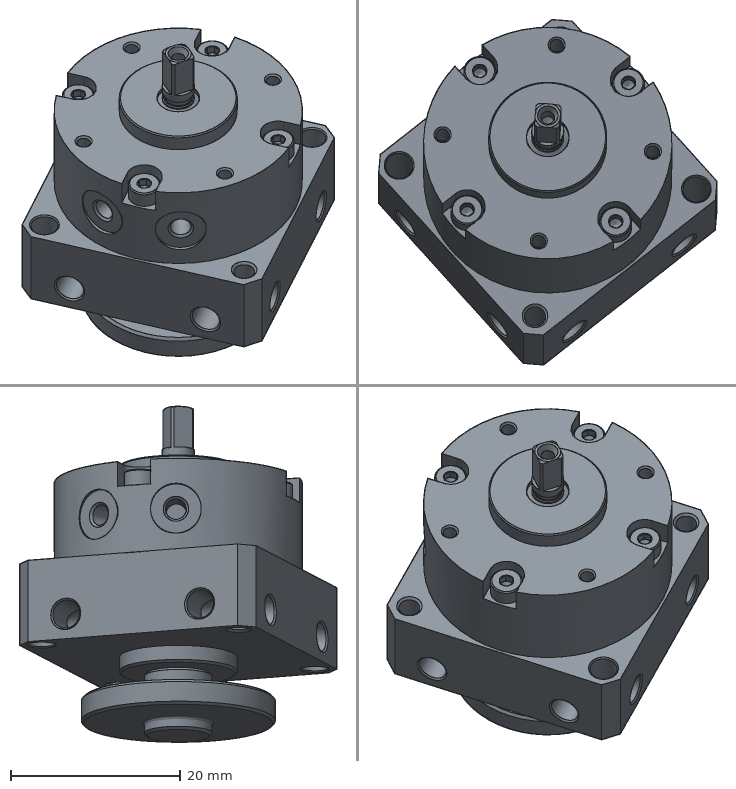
import cadquery as cq
import math

FLANGE_BOTTOM_Z = 1.5
FLANGE_TOP_Z = 4.5
LOWER_BOSS_Z = 7.5
BLOCK_BOTTOM_Z = 9.48
BLOCK_TOP_Z = 19.3
NOTCH_FLOOR_Z = 27.5
SCREW_TOP_Z = 29.45
DRUM_TOP_Z = 30.5
SHOULDER_TOP_Z = 32.35
UPPER_BOSS_Z = 32.5
GROOVE_BOTTOM_Z = 32.65
GROOVE_TOP_Z = 33.35
FLATS_BOTTOM_Z = 34.52
SHAFT_TOP_Z = 39.5

BLOCK_SIDE = 30.0
BLOCK_CORNER_CHAMFER = 1.7
DRUM_DIAMETER = 29.4
BOSS_DIAMETER = 14.0
LOWER_BOSS_CHAMFER = 0.28
UPPER_BOSS_CHAMFER = 0.15
BORE_DIAMETER = 5.0

HOLE_OFFSET = 12.5
CLEARANCE_DIAMETER = 3.2
CLEARANCE_MOUTH = 3.5
TAPPED_DIAMETER = 2.45
TAPPED_MOUTH = 3.0

CROSS_OFFSET = 8.5
CROSS_Z = 12.5
CROSS_DIAMETER = 3.4
CROSS_MOUTH = 3.8

STATIONS = 4
NOTCH_WIDTH = 4.23
SCREW_DIAMETER = 3.8
SCREW_CHAMFER = 0.15
SOCKET_ACROSS_FLATS = 1.5
SOCKET_MOUTH = 1.7
SOCKET_DEPTH = 1.0
SOCKET_POINT_DEPTH = 0.47
FACE_HOLE_DIAMETER = 1.58
FACE_HOLE_MOUTH = 2.0
FACE_HOLE_DEPTH = 3.95

PORT_Z = 24.5
PORT_ANGLE = 20.0
SPOT_FACE_DIAMETER = 6.0
SPOT_FACE_RADIUS = 14.25
PORT_DEPTH = 3.15

FLANGE_DIAMETER = 23.0
FLANGE_CHAMFER = 0.3
HUB_DIAMETER = 8.0
HUB_CHAMFER = 0.3
UPPER_HUB_FILLET = 0.6
LOWER_HUB_FILLET = 0.25
GROOVE_DIAMETER = 3.2
GROOVE_CHAMFER = 0.1
NECK_DIAMETER = 3.5
SHOULDER_SLOPE = 30.0
UPPER_DIAMETER = 3.8
TIP_DIAMETER = 3.1
TIP_CHAMFER_HEIGHT = 0.15
SQUARE_ACROSS_FLATS = 2.95
CENTRE_MOUTH = 2.4
CENTRE_DIAMETER = 1.58
CENTRE_CONE_ANGLE = 60.0
CENTRE_DEPTH = 2.37
CENTRE_POINT_DEPTH = 0.47


def countersunk_drill(point, direction, diameter, mouth, depth):
    """Cutter from a surface point inwards, with a 45 degree chamfer at its mouth."""
    point = cq.Vector(*point)
    direction = cq.Vector(*direction)
    drill = cq.Solid.makeCylinder(diameter / 2, depth, point, direction)
    chamfer = cq.Solid.makeCone(mouth / 2, diameter / 2, (mouth - diameter) / 2, point, direction)
    return cq.Workplane(drill.fuse(chamfer))


def through_drill(start, end, diameter, mouth):
    """Cutter between two opposite surfaces, chamfered at both."""
    axis = cq.Vector(*end) - cq.Vector(*start)
    first = countersunk_drill(start, axis.toTuple(), diameter, mouth, axis.Length)
    second = countersunk_drill(end, (-axis).toTuple(), diameter, mouth, axis.Length)
    return first.union(second)


def cylinder(diameter, bottom, top):
    return cq.Workplane("XY").workplane(offset=bottom).circle(diameter / 2).extrude(top - bottom)


def make_body_blank():
    block = (
        cq.Workplane("XY")
        .workplane(offset=BLOCK_BOTTOM_Z)
        .rect(BLOCK_SIDE, BLOCK_SIDE)
        .extrude(BLOCK_TOP_Z - BLOCK_BOTTOM_Z)
        .edges("|Z")
        .chamfer(BLOCK_CORNER_CHAMFER)
    )
    drum = cylinder(DRUM_DIAMETER, BLOCK_TOP_Z, DRUM_TOP_Z)
    lower_boss = cylinder(BOSS_DIAMETER, LOWER_BOSS_Z, BLOCK_BOTTOM_Z)
    lower_boss = lower_boss.faces("<Z").chamfer(LOWER_BOSS_CHAMFER)
    upper_boss = cylinder(BOSS_DIAMETER, DRUM_TOP_Z, UPPER_BOSS_Z)
    upper_boss = upper_boss.faces(">Z").chamfer(UPPER_BOSS_CHAMFER)
    return block.union(drum).union(lower_boss).union(upper_boss)


def cut_block_holes(body):
    """Vertical corner holes, and horizontal pairs through the block along X and along Y."""
    for x_sign in (-1, 1):
        for y_sign in (-1, 1):
            x, y = x_sign * HOLE_OFFSET, y_sign * HOLE_OFFSET
            if x_sign == y_sign:
                diameter, mouth = CLEARANCE_DIAMETER, CLEARANCE_MOUTH
            else:
                diameter, mouth = TAPPED_DIAMETER, TAPPED_MOUTH
            body = body.cut(through_drill((x, y, BLOCK_TOP_Z), (x, y, BLOCK_BOTTOM_Z), diameter, mouth))
    half = BLOCK_SIDE / 2
    for offset in (-CROSS_OFFSET, CROSS_OFFSET):
        front, back = (offset, -half, CROSS_Z), (offset, half, CROSS_Z)
        left, right = (-half, offset, CROSS_Z), (half, offset, CROSS_Z)
        along_y = through_drill(front, back, CROSS_DIAMETER, CROSS_MOUTH)
        along_x = through_drill(left, right, CROSS_DIAMETER, CROSS_MOUTH)
        body = body.cut(along_y).cut(along_x)
    return body


def make_notch():
    """Round-ended notch on the +X side, open towards the rim of the drum."""
    depth = DRUM_TOP_Z - NOTCH_FLOOR_Z
    run = BLOCK_SIDE / 2 - HOLE_OFFSET
    plane = cq.Workplane("XY").workplane(offset=NOTCH_FLOOR_Z)
    round_end = plane.center(HOLE_OFFSET, 0).circle(NOTCH_WIDTH / 2).extrude(depth)
    opening = plane.center(HOLE_OFFSET + run / 2, 0).rect(run, NOTCH_WIDTH).extrude(depth)
    return round_end.union(opening)


def make_screw_head():
    """Socket head standing on the notch floor on the +X side."""
    head = cylinder(SCREW_DIAMETER, NOTCH_FLOOR_Z, SCREW_TOP_Z).faces(">Z").chamfer(SCREW_CHAMFER)
    socket = (
        cq.Workplane("XY")
        .workplane(offset=SCREW_TOP_Z - SOCKET_DEPTH)
        .polygon(6, SOCKET_ACROSS_FLATS, circumscribed=True)
        .extrude(SOCKET_DEPTH)
    )
    point = cq.Solid.makeCone(
        SOCKET_ACROSS_FLATS / 2,
        0,
        SOCKET_POINT_DEPTH,
        cq.Vector(0, 0, SCREW_TOP_Z - SOCKET_DEPTH),
        cq.Vector(0, 0, -1),
    )
    mouth = countersunk_drill(
        (0, 0, SCREW_TOP_Z), (0, 0, -1), SOCKET_ACROSS_FLATS, SOCKET_MOUTH, SOCKET_DEPTH
    )
    head = head.cut(socket).cut(mouth).cut(cq.Workplane(point))
    return head.translate((HOLE_OFFSET, 0, 0))


def add_drum_stations(body):
    """Notches with screw heads around the drum, and a blind hole halfway between each pair."""
    axis_start, axis_end = (0, 0, 0), (0, 0, 1)
    step = 360 / STATIONS
    face_hole = countersunk_drill(
        (HOLE_OFFSET, 0, DRUM_TOP_Z), (0, 0, -1), FACE_HOLE_DIAMETER, FACE_HOLE_MOUTH, FACE_HOLE_DEPTH
    )
    notch = make_notch()
    screw_head = make_screw_head()
    for station in range(STATIONS):
        angle = station * step
        body = body.cut(notch.rotate(axis_start, axis_end, angle))
        body = body.cut(face_hole.rotate(axis_start, axis_end, angle + step / 2))
    for station in range(STATIONS):
        angle = station * step
        head = screw_head.rotate((HOLE_OFFSET, 0, 0), (HOLE_OFFSET, 0, 1), -angle)
        body = body.union(head.rotate(axis_start, axis_end, angle))
    return body


def cut_ports(body):
    """Two radial ports either side of the -Y direction, each sunk from a flat spot face."""
    for sign in (-1, 1):
        turn = math.radians(sign * PORT_ANGLE)
        outward = cq.Vector(math.sin(turn), -math.cos(turn), 0)
        seat = outward * SPOT_FACE_RADIUS + cq.Vector(0, 0, PORT_Z)
        spot_depth = DRUM_DIAMETER / 2 - SPOT_FACE_RADIUS
        spot_face = cq.Solid.makeCylinder(SPOT_FACE_DIAMETER / 2, spot_depth, seat, outward)
        port = countersunk_drill(
            seat.toTuple(), (-outward).toTuple(), TAPPED_DIAMETER, TAPPED_MOUTH, PORT_DEPTH
        )
        body = body.cut(cq.Workplane(spot_face)).cut(port)
    return body


def cut_bore(body):
    return body.cut(cylinder(BORE_DIAMETER, LOWER_BOSS_Z, UPPER_BOSS_Z))


def make_housing():
    body = make_body_blank()
    body = cut_block_holes(body)
    body = add_drum_stations(body)
    body = cut_ports(body)
    return cut_bore(body)


def make_turned_shaft():
    """Revolved shaft: hub with flange, journal in the bore, groove and plain upper end."""
    hub = HUB_DIAMETER / 2
    flange = FLANGE_DIAMETER / 2
    journal = BORE_DIAMETER / 2
    groove = GROOVE_DIAMETER / 2
    neck = NECK_DIAMETER / 2
    upper = UPPER_DIAMETER / 2
    tip = TIP_DIAMETER / 2
    shoulder_drop = (journal - upper) * math.tan(math.radians(SHOULDER_SLOPE))
    return (
        cq.Workplane("XZ")
        .lineTo(hub - HUB_CHAMFER, 0)
        .lineTo(hub, HUB_CHAMFER)
        .lineTo(hub, FLANGE_BOTTOM_Z - LOWER_HUB_FILLET)
        .radiusArc((hub + LOWER_HUB_FILLET, FLANGE_BOTTOM_Z), LOWER_HUB_FILLET)
        .lineTo(flange - FLANGE_CHAMFER, FLANGE_BOTTOM_Z)
        .lineTo(flange, FLANGE_BOTTOM_Z + FLANGE_CHAMFER)
        .lineTo(flange, FLANGE_TOP_Z - FLANGE_CHAMFER)
        .lineTo(flange - FLANGE_CHAMFER, FLANGE_TOP_Z)
        .lineTo(hub + UPPER_HUB_FILLET, FLANGE_TOP_Z)
        .radiusArc((hub, FLANGE_TOP_Z + UPPER_HUB_FILLET), UPPER_HUB_FILLET)
        .lineTo(hub, LOWER_BOSS_Z - HUB_CHAMFER)
        .lineTo(hub - HUB_CHAMFER, LOWER_BOSS_Z)
        .lineTo(journal, LOWER_BOSS_Z)
        .lineTo(journal, SHOULDER_TOP_Z - shoulder_drop)
        .lineTo(upper, SHOULDER_TOP_Z)
        .lineTo(upper, GROOVE_BOTTOM_Z - (upper - neck))
        .lineTo(neck, GROOVE_BOTTOM_Z)
        .lineTo(groove, GROOVE_BOTTOM_Z)
        .lineTo(groove, GROOVE_TOP_Z)
        .lineTo(upper - GROOVE_CHAMFER, GROOVE_TOP_Z)
        .lineTo(upper, GROOVE_TOP_Z + GROOVE_CHAMFER)
        .lineTo(upper, SHAFT_TOP_Z - TIP_CHAMFER_HEIGHT)
        .lineTo(tip, SHAFT_TOP_Z)
        .lineTo(0, SHAFT_TOP_Z)
        .close()
        .revolve(360, (0, 0, 0), (0, 1, 0))
    )


def cut_square_end(shaft):
    """Four flats facing the diagonals of X and Y."""
    length = SHAFT_TOP_Z - FLATS_BOTTOM_Z
    waste = cylinder(2 * UPPER_DIAMETER, FLATS_BOTTOM_Z, SHAFT_TOP_Z)
    square = (
        cq.Workplane("XY")
        .workplane(offset=FLATS_BOTTOM_Z)
        .transformed(rotate=(0, 0, 45))
        .rect(SQUARE_ACROSS_FLATS, SQUARE_ACROSS_FLATS)
        .extrude(length)
    )
    return shaft.cut(waste.cut(square))


def cut_centre_hole(shaft):
    """Centre hole with a tapered mouth and a conical bottom."""
    mouth = CENTRE_MOUTH / 2
    radius = CENTRE_DIAMETER / 2
    slope = math.tan(math.radians(CENTRE_CONE_ANGLE / 2))
    mouth_depth = (mouth - radius) / slope
    hole = (
        cq.Workplane("XZ", origin=(0, 0, SHAFT_TOP_Z))
        .lineTo(mouth, 0)
        .lineTo(radius, -mouth_depth)
        .lineTo(radius, -CENTRE_DEPTH)
        .lineTo(0, -CENTRE_DEPTH - CENTRE_POINT_DEPTH)
        .close()
        .revolve(360, (0, 0, 0), (0, 1, 0))
    )
    return shaft.cut(hole)


def make_shaft():
    shaft = make_turned_shaft()
    shaft = cut_square_end(shaft)
    return cut_centre_hole(shaft)


housing = make_housing()
shaft = make_shaft()
result = cq.Compound.makeCompound([housing.val(), shaft.val()])